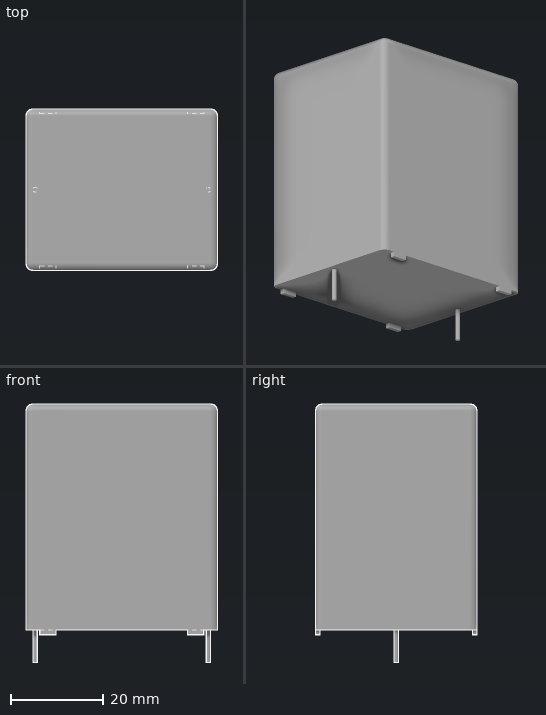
import cadquery as cq

length = 41.5
width = 35.0
total_height = 56

pin_drop = 7.0
box_height = total_height - pin_drop
edge_radius = 1.5

pin_diameter = 1.0
pin_spacing = 37.5

foot_length = 3.6
foot_width = 1.0
foot_height = 1.0
foot_spacing = 32.05


def make_box():
    box = cq.Workplane("XY").box(length, width, box_height, centered=(True, True, False))
    return box.edges("|Z or >Z").fillet(edge_radius)


def make_pins():
    pin_centres = [(-pin_spacing / 2, 0), (pin_spacing / 2, 0)]
    return cq.Workplane("XY").pushPoints(pin_centres).circle(pin_diameter / 2).extrude(-pin_drop)


def make_feet():
    row_spacing = width - foot_width
    feet = cq.Workplane("XY").rarray(foot_spacing, row_spacing, 2, 2)
    return feet.rect(foot_length, foot_width).extrude(-foot_height)


result = make_box().union(make_pins()).union(make_feet())